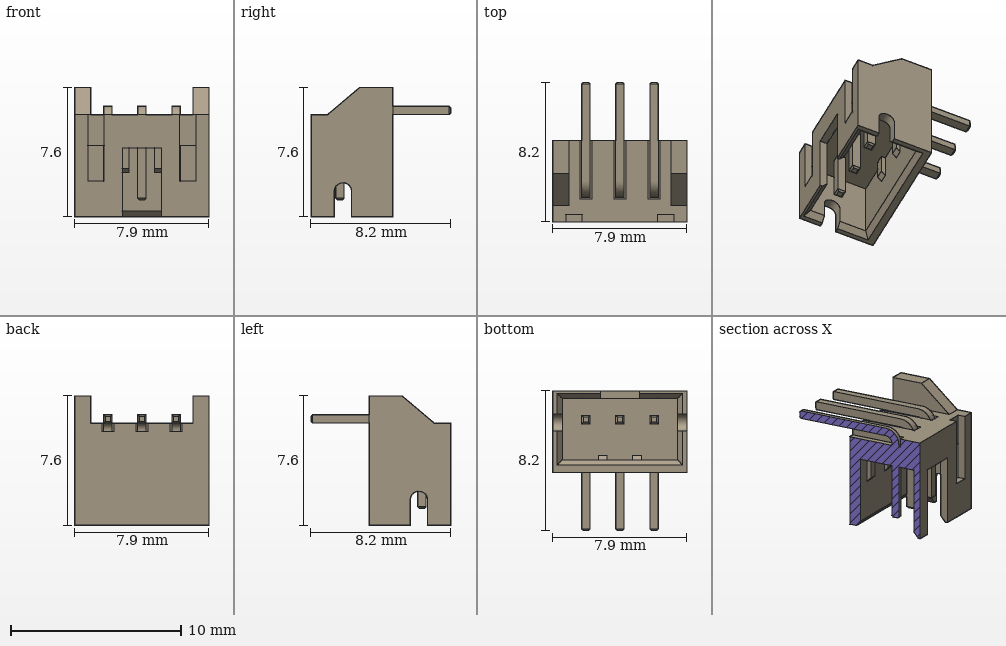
import cadquery as cq
import math


width = 7.9
depth = 4.8
height = 6.0

full_height = 7.6
wing_thickness = 0.95
wing_slope_start = 0.96
wing_slope_end = 2.85

front_wall = 0.45
back_wall = 0.75
side_wall = 0.565
cavity_height = 4.2
mouth_bevel = 0.3
mouth_bevel_height = 0.35

window_width = 2.3
window_height = 4.05
notch_width = 0.95
notch_edge_distance = 0.78
notch_bottom = 2.1
side_slot_width = 1.0
side_slot_height = 2.0
side_slot_center = 1.87

rib_width = 0.51
rib_depth = 0.255
rib_bottom = 2.6

pin_pitch = 2.0
pin_size = 0.5
pin_front = 1.44
pin_bottom = 1.0
pin_end = 8.2
pin_tip_bevel = 0.1
pin_bend_radius = 0.9
pin_top = height + pin_size
groove_clearance = 0.1
groove_depth = 0.5


def box(x_min, x_max, y_min, y_max, z_min, z_max):
    """Box given by its limits along each axis."""
    size = (x_max - x_min, y_max - y_min, z_max - z_min)
    return cq.Workplane("XY").box(*size, centered=False).translate((x_min, y_min, z_min))


def extrude_along_x(profile, x_center, length):
    """Extrude a closed YZ profile symmetrically about x_center."""
    return profile.extrude(length / 2, both=True).translate((x_center, 0, 0))


def make_wing(side):
    profile = cq.Workplane("YZ").polyline([
        (wing_slope_start, height),
        (wing_slope_end, full_height),
        (depth, full_height),
        (depth, height),
    ]).close()
    return extrude_along_x(profile, side * (width - wing_thickness) / 2, wing_thickness)


def make_cavity():
    cavity_width = width - 2 * side_wall
    cavity_depth = depth - front_wall - back_wall
    cavity_center = front_wall + cavity_depth / 2
    room = (
        cq.Workplane("XY").center(0, cavity_center)
        .rect(cavity_width, cavity_depth).extrude(cavity_height)
    )
    mouth = (
        cq.Workplane("XY").center(0, cavity_center)
        .rect(cavity_width + 2 * mouth_bevel, cavity_depth + 2 * mouth_bevel)
        .workplane(offset=mouth_bevel_height)
        .rect(cavity_width, cavity_depth)
        .loft(ruled=True)
    )
    return room.union(mouth)


def make_rib(x_center):
    wall_face = depth - back_wall
    profile = cq.Workplane("YZ").polyline([
        (wall_face, rib_bottom),
        (wall_face - rib_depth, rib_bottom + rib_depth),
        (wall_face - rib_depth, cavity_height),
        (wall_face, cavity_height),
    ]).close()
    return extrude_along_x(profile, x_center, rib_width)


def make_front_window():
    return box(-window_width / 2, window_width / 2, 0, front_wall, 0, window_height)


def make_front_notch(side):
    x_center = side * (width / 2 - notch_edge_distance - notch_width / 2)
    half = notch_width / 2
    return box(x_center - half, x_center + half, 0, front_wall, notch_bottom, height)


def make_side_slot():
    """Round-topped slot running through both side walls."""
    radius = side_slot_width / 2
    arc_start_height = side_slot_height - radius
    profile = (
        cq.Workplane("YZ")
        .moveTo(side_slot_center - radius, 0)
        .lineTo(side_slot_center - radius, arc_start_height)
        .threePointArc(
            (side_slot_center, side_slot_height),
            (side_slot_center + radius, arc_start_height),
        )
        .lineTo(side_slot_center + radius, 0)
        .close()
    )
    return extrude_along_x(profile, 0, width)


def make_groove(x_center):
    half = pin_size / 2 + groove_clearance
    groove_front = pin_front - groove_clearance
    return box(x_center - half, x_center + half, groove_front, depth, height - groove_depth, height)


def make_pin(x_center):
    """Square pin bent through a right angle, with bevelled tips."""
    inner_radius = pin_bend_radius - pin_size
    bend_y = pin_front + pin_bend_radius
    bend_z = pin_top - pin_bend_radius
    diagonal = math.sqrt(0.5)
    outer_mid = (bend_y - pin_bend_radius * diagonal, bend_z + pin_bend_radius * diagonal)
    inner_mid = (bend_y - inner_radius * diagonal, bend_z + inner_radius * diagonal)
    profile = (
        cq.Workplane("YZ")
        .moveTo(pin_front, pin_bottom)
        .lineTo(pin_front, bend_z)
        .threePointArc(outer_mid, (bend_y, pin_top))
        .lineTo(pin_end, pin_top)
        .lineTo(pin_end, height)
        .lineTo(bend_y, height)
        .threePointArc(inner_mid, (pin_front + pin_size, bend_z))
        .lineTo(pin_front + pin_size, pin_bottom)
        .close()
    )
    pin = extrude_along_x(profile, x_center, pin_size)
    return pin.faces("<Z or >Y").chamfer(pin_tip_bevel)


pin_positions = [-pin_pitch, 0, pin_pitch]

result = box(-width / 2, width / 2, 0, depth, 0, height)
for side in (-1, 1):
    result = result.union(make_wing(side))

result = result.cut(make_cavity()).cut(make_front_window()).cut(make_side_slot())
for side in (-1, 1):
    result = result.cut(make_front_notch(side))
for x_center in pin_positions:
    result = result.cut(make_groove(x_center))

for side in (-1, 1):
    result = result.union(make_rib(side * pin_pitch / 2))
for x_center in pin_positions:
    result = result.union(make_pin(x_center))